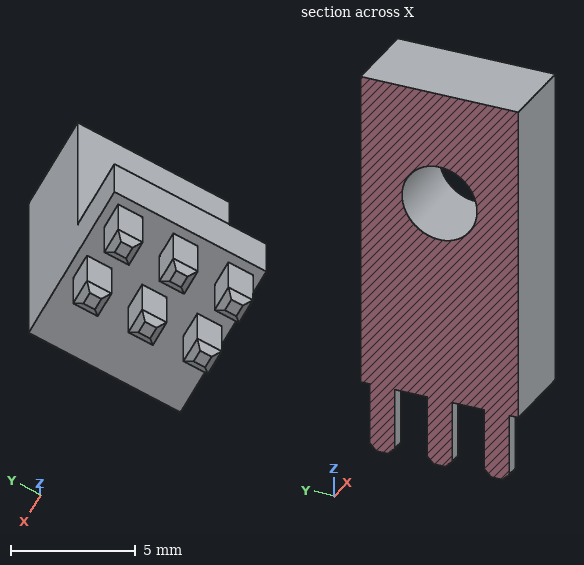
import cadquery as cq

body_length = 7.0
body_width = 7.0
body_height = 14.0
foot_height = 3.0
plate_thickness = 4.0

hole_diameter = 3.3
hole_height = 9.0

pin_size = 1.13
pin_length = 3.0
pin_pitch = 2.54
tip_height = 0.3
tip_inset = 0.3
pin_columns = (-1, 0)
pin_rows = (-1, 0, 1)


def make_body():
    plate_face_x = body_length / 2 - plate_thickness
    return (
        cq.Workplane("XZ")
        .moveTo(-body_length / 2, 0)
        .lineTo(body_length / 2, 0)
        .lineTo(body_length / 2, body_height)
        .lineTo(plate_face_x, body_height)
        .lineTo(plate_face_x, foot_height)
        .lineTo(-body_length / 2, foot_height)
        .close()
        .extrude(body_width / 2, both=True)
    )


def make_screw_hole():
    return (
        cq.Workplane("YZ", origin=(-body_length / 2, 0, 0))
        .center(0, hole_height)
        .circle(hole_diameter / 2)
        .extrude(body_length)
    )


def make_pin(x, y):
    shank_length = pin_length - tip_height
    tip_size = pin_size - 2 * tip_inset
    shank = cq.Workplane("XY").rect(pin_size, pin_size).extrude(-shank_length)
    tip = (
        cq.Workplane("XY")
        .workplane(offset=-shank_length)
        .rect(pin_size, pin_size)
        .workplane(offset=-tip_height)
        .rect(tip_size, tip_size)
        .loft(ruled=True)
    )
    return shank.union(tip).translate((x, y, 0))


result = make_body().cut(make_screw_hole())
for column in pin_columns:
    for row in pin_rows:
        result = result.union(make_pin(column * pin_pitch, row * pin_pitch))